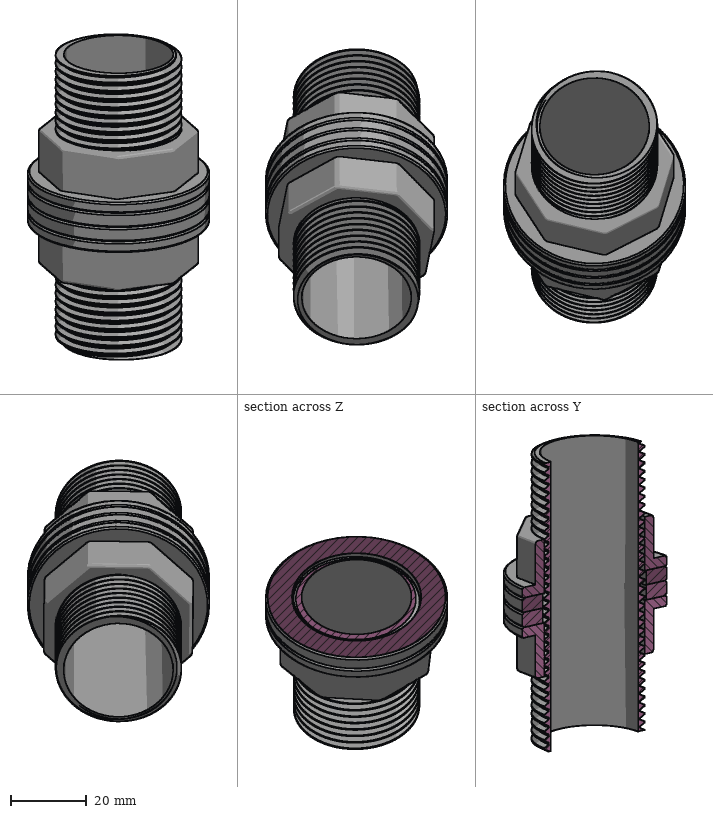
import cadquery as cq
import math


pipe_length = 80.0
pipe_bore = 28.9
thread_diameter = 33.3
thread_turns = 34.65
thread_pitch = pipe_length / thread_turns
whitworth_depth_ratio = 0.64
thread_depth = whitworth_depth_ratio * thread_pitch
thread_half_angle = math.radians(27.5)
thread_crest_height = 0.36
crest_radius = thread_diameter / 2
root_radius = crest_radius - thread_depth
flank_height = thread_depth * math.tan(thread_half_angle)
thread_flat = thread_pitch / 2 - flank_height
bore_allowance = 1.6
blank_radius = pipe_bore / 2 - bore_allowance

disc_diameter = 48.0
disc_chamfer = 0.5
washer_bore = 34.0
washer_thickness = 4.0

nut_bore = thread_diameter
flange_thickness = 3.0
octagon_sides = 8
octagon_across_flats = 39.3
octagon_height = 12.0
octagon_corner_radius = 2.0
octagon_rim_radius = 1.0


def make_thread_profile():
    """Radius and height of the corners of one pitch of the pipe wall, centred on a crest."""
    crest_half = thread_flat / 2
    tooth_half = crest_half + flank_height
    pitch_top = tooth_half + thread_flat
    return [
        (root_radius, -tooth_half),
        (crest_radius, -crest_half),
        (crest_radius, crest_half),
        (root_radius, tooth_half),
        (root_radius, pitch_top),
        (blank_radius, pitch_top),
        (blank_radius, -tooth_half),
    ]


def make_helix(corner, turn):
    """One turn of the helix that a profile corner follows, counted from the lowest turn."""
    radius, height = corner
    helix = cq.Wire.makeHelix(thread_pitch, thread_pitch, radius)
    return helix.translate(cq.Vector(0, 0, height + turn * thread_pitch)).Edges()[0]


def make_helicoid(first_corner, second_corner, turn):
    """One turn of the ruled face that joins the helices of two profile corners."""
    first_helix = make_helix(first_corner, turn)
    second_helix = make_helix(second_corner, turn)
    return cq.Face.makeRuledSurface(first_helix, second_helix)


def make_end_step(profile, turn):
    """Flat step, one pitch tall, where the helicoid closing one end meets itself."""
    corners = [cq.Vector(radius, 0, height + turn * thread_pitch) for radius, height in profile]
    return cq.Face.makeFromWires(cq.Wire.makePolygon(corners, close=True))


def make_threaded_blank():
    """Threaded tube that is longer, and has a smaller bore, than the pipe.

    The faces are built turn by turn and sewn together, so the thread needs no
    union between a helical ridge and a cylinder.
    """
    turns_below = math.ceil(thread_turns / 2) + 1
    turns = 2 * turns_below
    profile = make_thread_profile()
    outside = profile[:-2]
    outer_bottom, outer_top = outside[0], outside[-1]
    inner_top, inner_bottom = profile[-2:]

    strips = list(zip(outside, outside[1:])) + [(inner_top, inner_bottom)]
    faces = [make_helicoid(*strip, turn) for turn in range(turns) for strip in strips]
    faces.append(make_helicoid(inner_bottom, outer_bottom, 0))
    faces.append(make_helicoid(outer_top, inner_top, turns - 1))
    faces.append(make_end_step(profile, 0))
    faces.append(make_end_step(profile, turns))

    blank = cq.Solid.makeSolid(cq.Shell.makeShell(faces))
    lowest_crest = thread_crest_height - turns_below * thread_pitch
    blank = blank.rotate(cq.Vector(0, 0, 0), cq.Vector(0, 0, 1), 180)
    return cq.Workplane(blank.translate(cq.Vector(0, 0, lowest_crest)))


def make_pipe():
    """Pipe with one thread running from end to end."""
    envelope = (
        cq.Workplane("XY")
        .circle(disc_diameter / 2)
        .circle(pipe_bore / 2)
        .extrude(pipe_length / 2, both=True)
    )
    return make_threaded_blank().intersect(envelope, clean=False)


def make_disc(thickness):
    """Disc standing on Z = 0 with both outer edges chamfered."""
    disc = cq.Workplane("XY").circle(disc_diameter / 2).extrude(thickness)
    return disc.edges().chamfer(disc_chamfer)


def make_washer():
    """Upper washer, resting on Z = 0."""
    hole = cq.Workplane("XY").circle(washer_bore / 2).extrude(washer_thickness)
    return make_disc(washer_thickness).cut(hole)


def make_nut():
    """Upper nut: a round flange on the washer and an octagon above it."""
    nut_height = flange_thickness + octagon_height
    across_corners = octagon_across_flats / math.cos(math.pi / octagon_sides)
    octagon = (
        cq.Workplane("XY")
        .polygon(octagon_sides, across_corners)
        .extrude(nut_height)
        .rotate((0, 0, 0), (0, 0, 1), 180 / octagon_sides)
        .edges("|Z").fillet(octagon_corner_radius)
        .faces(">Z").edges().fillet(octagon_rim_radius)
    )
    hole = cq.Workplane("XY").circle(nut_bore / 2).extrude(nut_height)
    nut = make_disc(flange_thickness).union(octagon).cut(hole)
    return nut.translate((0, 0, washer_thickness))


bodies = [make_pipe().solids().val()]

for turn in (0, 180):
    for make_body in (make_nut, make_washer):
        body = make_body().rotate((0, 0, 0), (1, 0, 0), turn)
        bodies.append(body.solids().val())

result = cq.Compound.makeCompound(bodies)